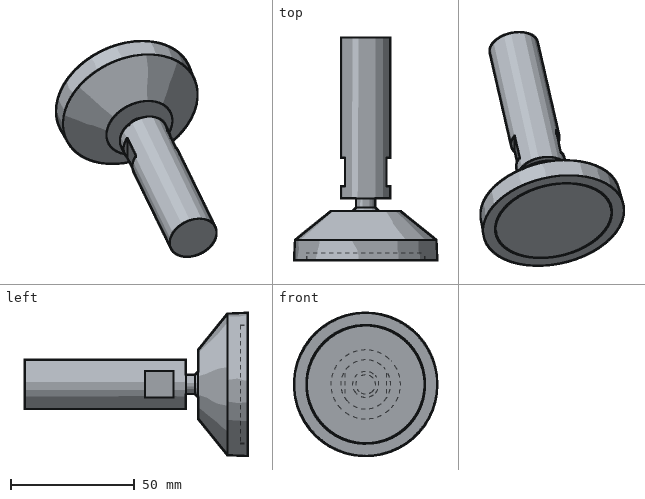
import cadquery as cq

total_length = 90.0

rim_base_diameter = 58.0
rim_top_diameter = 57.2
rim_height = 8.2
foot_top_diameter = 28.0
foot_height = 20.0

neck_diameter = 7.8
flare_height = 1.35
flare_base_diameter = neck_diameter + 2 * flare_height
shank_diameter = 20.0
shank_start = 25.0
flat_start = 30.0
flat_end = 41.4
across_flats = 16.8

recess_diameter = 48.0
pad_diameter = 47.5
pad_thickness = 3.0


def make_disc(diameter, thickness):
    """Disc on the axis, rising along +Y from the standing plane."""
    return cq.Workplane("XZ").circle(diameter / 2).extrude(-thickness)


def make_turned_body():
    """Foot and stud revolved together around the Y axis."""
    profile = [
        (0, 0),
        (rim_base_diameter / 2, 0),
        (rim_top_diameter / 2, rim_height),
        (foot_top_diameter / 2, foot_height),
        (flare_base_diameter / 2, foot_height),
        (neck_diameter / 2, foot_height + flare_height),
        (neck_diameter / 2, shank_start),
        (shank_diameter / 2, shank_start),
        (shank_diameter / 2, total_length),
        (0, total_length),
    ]
    return cq.Workplane("XY").polyline(profile).close().revolve(360, (0, 0, 0), (0, 1, 0))


def make_flat_cutter(side):
    """Block removing the shank outside one wrench flat; side is -1 or 1 along X."""
    flat_length = flat_end - flat_start
    block_depth = shank_diameter / 2
    center_x = side * (across_flats + block_depth) / 2
    center_y = (flat_start + flat_end) / 2
    return (
        cq.Workplane("XY")
        .box(block_depth, flat_length, shank_diameter)
        .translate((center_x, center_y, 0))
    )


def make_foot_with_stud():
    """Turned body with the pad recess and both wrench flats cut."""
    body = make_turned_body().cut(make_disc(recess_diameter, pad_thickness))
    for side in (-1, 1):
        body = body.cut(make_flat_cutter(side))
    return body


foot_with_stud = make_foot_with_stud()
pad = make_disc(pad_diameter, pad_thickness)

result = cq.Compound.makeCompound([foot_with_stud.solids().val(), pad.val()])